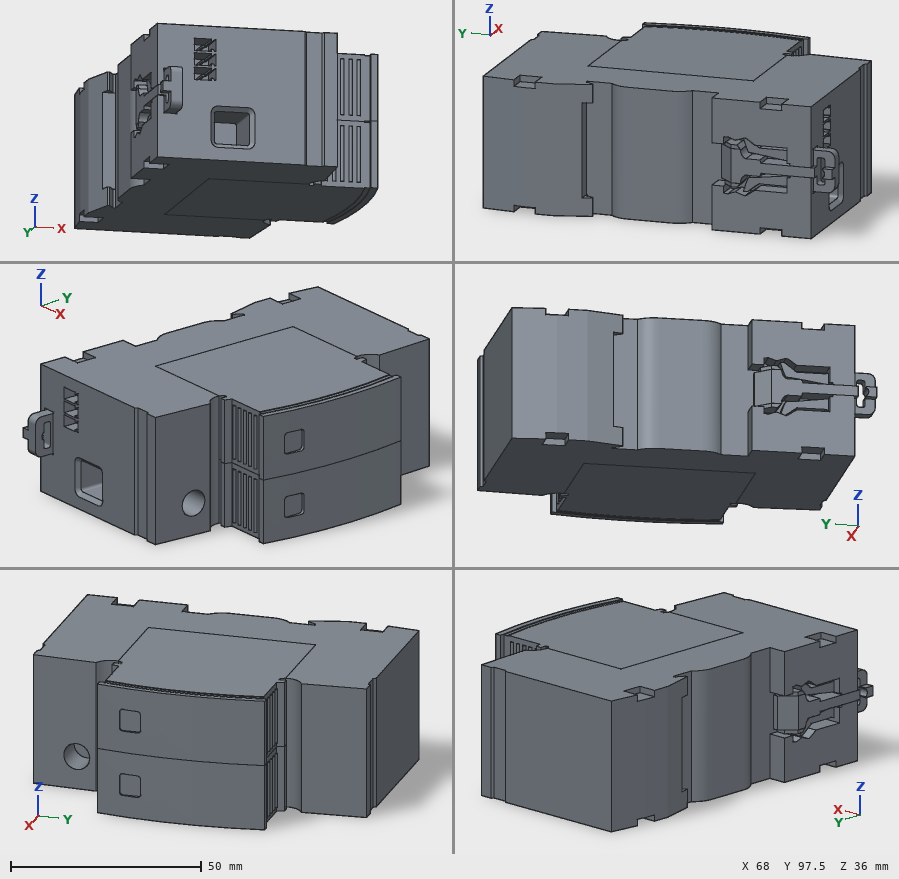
import cadquery as cq
import math


WIDTH = 36.0
HALF_WIDTH = WIDTH / 2
HALF_LENGTH = 45.8
CLIP_END_Y = -51.7
FRONT_X = 68.0

RAIL_X = 5.4
SLANT_TOP_X = 1.4
SLANT_END_Y = 33.9
HOOK_START_Y = 25.8
HOOK_TIP_Y = 15.9
HOOK_TIP_X = (2.5, 3.1)
HOOK_ROOT = (4.6, 18.2)
FOOT_Y = -18.2
PAD_X = 3.0
PAD_Y = 0.2
PAD_HALF_FLAT = 5.9
PAD_ROUND_LENGTH = 5.3
SHOULDER_X = 48.9
SHOULDER_TIP = (50.0, 28.3)
SCALLOP_END = (47.1, 24.4)
SCALLOP_RADIUS = 5.3
GRIP_X = (40.1, 40.8, 44.9, 45.4)
GRIP_DEPTH = 0.7

HOOK_GAP_HALF_WIDTH = 13.0
HOOK_GAP_Y = 18.5
EDGE_NOTCH_LENGTH = 6.0
EDGE_NOTCH_DEPTH = 1.8
EDGE_NOTCH_Y = (33.9, -34.6)
TERMINAL_Z = 9.0
WIRE_ENTRY_X = 20.6
WIRE_ENTRY_SIZE = (9.6, 8.8)
WIRE_ENTRY_FLARE = 1.2
WIRE_ENTRY_TAPER = 45
WIRE_ENTRY_CORNER = 0.8
WIRE_ENTRY_DEPTH = 14.6
SCREW_Y = -33.6
SCREW_DIAMETER = 7.2
SCREW_DEPTH = 9.75
SOCKET_PITCH = 3.9
SOCKET_X = (10.0, 14.7, 15.2, 15.6, 15.9)
SOCKET_HALF_HEIGHT = 1.7
SOCKET_NECK_HALF_HEIGHT = 1.1
SOCKET_KEY_HALF_HEIGHT = 1.6
SOCKET_DEPTH = 7.8
PIN_X = 13.0
PIN_SIZE = 0.6
PIN_LENGTH = 5.85

POCKET_DEPTH = RAIL_X
ENTRY_HALF_WIDTH = 5.8
POCKET_START_Y = -21.45
POCKET_END_Y = -39.1
FINGER_DEPTH = 2.1
STEM_HALF_WIDTH = 1.4
STEM_MOUTH_HALF_WIDTH = 1.95
POCKET_SIDE = [
    (POCKET_START_Y, 7.6),
    (-22.6, 7.8),
    (-24.8, 7.0),
    (-26.1, 7.5),
    (-27.4, 7.9),
    (-28.1, 7.6),
    (-30.1, 6.1),
    (POCKET_END_Y, 6.1),
]
STEM_MOUTH = [
    (POCKET_END_Y, STEM_MOUTH_HALF_WIDTH),
    (-39.8, STEM_MOUTH_HALF_WIDTH),
    (-40.1, STEM_HALF_WIDTH),
]
FINGER_OUTER_EDGE = [
    (POCKET_END_Y, 5.2),
    (-38.3, 4.9),
    (-30.7, 4.9),
    (-27.4, 7.3),
    (-26.2, 7.4),
]
FINGER_INNER_EDGE = [
    (-26.5, 6.4),
    (-27.1, 4.7),
    (-27.7, 3.4),
    (-29.2, 3.3),
    (POCKET_END_Y, STEM_MOUTH_HALF_WIDTH),
]
HEAD_TIP_Y = -19.6
HEAD_SHOULDER_Y = -21.0
HEAD_HALF_WIDTH = 4.7
HEAD_RAMP_LENGTH = 3.9
WING_STEP = 0.1
WING_CORNER_Y = -25.2
WAIST_ARC = ((-26.2, 4.5), (-26.9, 2.7), (-27.7, 2.2))
WAIST_END_Y = (-31.6, -31.9)
HANDLE_X = 2.1
HANDLE_HALF_WIDTH = 5.7
HANDLE_CORNER = 1.95
HANDLE_INSERT = 1.95
HANDLE_CLEARANCE = 0.4
SLOT_Y = (-46.7, -48.9)
SLOT_HALF_WIDTH = 3.7
SLOT_CORNER = 0.7
SLOT_BULGE_RADIUS = 1.3
SLOT_BULGE = 0.6

MODULE_HEIGHT = HALF_WIDTH
MODULE_BACK_X = 19.9
MODULE_HALF_LENGTH = 23.0
MODULE_NECK_HALF_LENGTH = 21.7
LUG_HALF_LENGTH = 23.7
LUG_X = (48.7, 50.3, 50.9)
NECK_START_X = 47.7
CAP_BACK_X = 64.1
CAP_EDGE_X = 65.9
GROOVE_WIDTH = 1.5
GROOVE_DEPTH = 0.2
CAP_BOW = FRONT_X - CAP_EDGE_X
WINDOW_Y = -13.65
WINDOW_SIZE = 6.0
WINDOW_CORNER = 1.0
WINDOW_FLOOR_X = 66.5
RIB_FIRST_X = 52.1
RIB_PITCH = 2.2
RIB_COUNT = 5
RIB_RADIUS = 0.5
RIB_LENGTH = 15.0


def box(x, y, z):
    """Block between two limits on each axis."""
    size = (x[1] - x[0], y[1] - y[0], z[1] - z[0])
    return cq.Workplane("XY").box(*size, centered=False).translate((x[0], y[0], z[0]))


def plate(points, x_start, x_end):
    """Outline of (Y, Z) points as a plate between two X positions."""
    return cq.Workplane("YZ", origin=(x_start, 0, 0)).polyline(points).close().extrude(x_end - x_start)


def mirrored_outline(points):
    """Closed outline from its +Z half."""
    return points + [(y, -z) for y, z in reversed(points)]



def scallop_middle(side):
    """Point halfway along the hollow beside the module, on the +Y or -Y side."""
    dx = SHOULDER_TIP[0] - SCALLOP_END[0]
    dy = SHOULDER_TIP[1] - SCALLOP_END[1]
    chord = math.hypot(dx, dy)
    sag = SCALLOP_RADIUS - math.sqrt(SCALLOP_RADIUS**2 - chord**2 / 4)
    x = (SHOULDER_TIP[0] + SCALLOP_END[0]) / 2 - sag * dy / chord
    y = (SHOULDER_TIP[1] + SCALLOP_END[1]) / 2 + sag * dx / chord
    return (x, side * y)


def pad_round_middle(side):
    """Point on the rounded shoulder of the rail pad, which is tangent to the pad face."""
    height = RAIL_X - PAD_X
    radius = (PAD_ROUND_LENGTH**2 + height**2) / (2 * height)
    angle = math.asin(PAD_ROUND_LENGTH / radius) / 2
    x = PAD_X + radius * (1 - math.cos(angle))
    return (x, PAD_Y + side * (PAD_HALF_FLAT + radius * math.sin(angle)))


def housing_block():
    grip_y = HALF_LENGTH - GRIP_DEPTH
    pad_end = PAD_HALF_FLAT + PAD_ROUND_LENGTH
    outline = (
        cq.Workplane("XY", origin=(0, 0, -HALF_WIDTH))
        .moveTo(SLANT_TOP_X, HALF_LENGTH)
        .lineTo(GRIP_X[0], HALF_LENGTH)
        .lineTo(GRIP_X[1], grip_y)
        .lineTo(GRIP_X[2], grip_y)
        .lineTo(GRIP_X[3], HALF_LENGTH)
        .lineTo(SHOULDER_X, HALF_LENGTH)
        .lineTo(*SHOULDER_TIP)
        .threePointArc(scallop_middle(1), SCALLOP_END)
        .lineTo(SCALLOP_END[0], MODULE_HALF_LENGTH)
        .lineTo(MODULE_BACK_X, MODULE_HALF_LENGTH)
        .lineTo(MODULE_BACK_X, -MODULE_HALF_LENGTH)
        .lineTo(SCALLOP_END[0], -MODULE_HALF_LENGTH)
        .lineTo(SCALLOP_END[0], -SCALLOP_END[1])
        .threePointArc(scallop_middle(-1), (SHOULDER_TIP[0], -SHOULDER_TIP[1]))
        .lineTo(SHOULDER_X, -HALF_LENGTH)
        .lineTo(GRIP_X[3], -HALF_LENGTH)
        .lineTo(GRIP_X[2], -grip_y)
        .lineTo(GRIP_X[1], -grip_y)
        .lineTo(GRIP_X[0], -HALF_LENGTH)
        .lineTo(0, -HALF_LENGTH)
        .lineTo(0, FOOT_Y)
        .lineTo(RAIL_X, FOOT_Y)
        .lineTo(RAIL_X, PAD_Y - pad_end)
        .threePointArc(pad_round_middle(-1), (PAD_X, PAD_Y - PAD_HALF_FLAT))
        .lineTo(PAD_X, PAD_Y + PAD_HALF_FLAT)
        .threePointArc(pad_round_middle(1), (RAIL_X, PAD_Y + pad_end))
        .lineTo(RAIL_X, HOOK_ROOT[1])
        .lineTo(*HOOK_ROOT)
        .lineTo(HOOK_TIP_X[1], HOOK_TIP_Y)
        .lineTo(HOOK_TIP_X[0], HOOK_TIP_Y)
        .lineTo(0, HOOK_START_Y)
        .lineTo(0, SLANT_END_Y)
        .close()
    )
    return outline.extrude(WIDTH)


def hook_gap():
    z = (-HOOK_GAP_HALF_WIDTH, HOOK_GAP_HALF_WIDTH)
    return box((0, RAIL_X), (HOOK_TIP_Y, HOOK_GAP_Y), z)


def edge_notch(middle_y, side):
    """Notch in a rear edge of the housing, on the +Z or -Z side."""
    y = (middle_y - EDGE_NOTCH_LENGTH / 2, middle_y + EDGE_NOTCH_LENGTH / 2)
    z = sorted((side * HALF_WIDTH, side * (HALF_WIDTH - EDGE_NOTCH_DEPTH)))
    return box((0, RAIL_X), y, z)


def wire_entry():
    """Rectangular hole in the -Y end with a flared mouth."""
    length, height = WIRE_ENTRY_SIZE
    mouth_corner = WIRE_ENTRY_CORNER + WIRE_ENTRY_FLARE

    def outline(extra, corner):
        return (
            cq.Workplane("XZ", origin=(WIRE_ENTRY_X, -HALF_LENGTH, -TERMINAL_Z))
            .sketch()
            .rect(length + 2 * extra, height + 2 * extra)
            .vertices()
            .fillet(corner)
            .finalize()
        )

    shaft = outline(0, WIRE_ENTRY_CORNER).extrude(-WIRE_ENTRY_DEPTH)
    mouth = outline(WIRE_ENTRY_FLARE, mouth_corner).extrude(-WIRE_ENTRY_FLARE, taper=WIRE_ENTRY_TAPER)
    return shaft.union(mouth)


def screw_hole():
    """Round hole in the sloping front shoulder, above the wire entry."""
    start_x = SHOULDER_TIP[0]
    return (
        cq.Workplane("YZ", origin=(start_x, SCREW_Y, -TERMINAL_Z))
        .circle(SCREW_DIAMETER / 2)
        .extrude(-SCREW_DEPTH)
    )


def socket(middle_z):
    """Keyed connector socket in the -Y end, with its contact pin left standing."""
    upper = [
        (SOCKET_X[0], SOCKET_HALF_HEIGHT),
        (SOCKET_X[1], SOCKET_HALF_HEIGHT),
        (SOCKET_X[1], SOCKET_NECK_HALF_HEIGHT),
        (SOCKET_X[2], SOCKET_NECK_HALF_HEIGHT),
        (SOCKET_X[3], SOCKET_KEY_HALF_HEIGHT),
        (SOCKET_X[4], SOCKET_KEY_HALF_HEIGHT),
    ]
    cavity = (
        cq.Workplane("XZ", origin=(0, -HALF_LENGTH, middle_z))
        .polyline(mirrored_outline(upper))
        .close()
        .extrude(-SOCKET_DEPTH)
    )
    pin_root_y = SOCKET_DEPTH - HALF_LENGTH
    pin = (
        cq.Workplane("XZ", origin=(PIN_X, pin_root_y, middle_z))
        .rect(PIN_SIZE, PIN_SIZE)
        .extrude(PIN_LENGTH)
    )
    return cavity.cut(pin)


def clip_pocket():
    """Pocket in the rear face for the clip, without its spring fingers."""
    half = [
        (FOOT_Y, ENTRY_HALF_WIDTH),
        (POCKET_START_Y, ENTRY_HALF_WIDTH),
        *POCKET_SIDE,
        *STEM_MOUTH,
        (-HALF_LENGTH, STEM_HALF_WIDTH),
    ]
    return plate(mirrored_outline(half), 0, POCKET_DEPTH)


def spring_finger(side):
    """Cantilever rooted at the pocket's -Y end, on the +Z or -Z side of the clip."""
    points = [(y, side * z) for y, z in FINGER_OUTER_EDGE + FINGER_INNER_EDGE]
    return plate(points, FINGER_DEPTH, POCKET_DEPTH)


def handle_recess():
    half_width = HANDLE_HALF_WIDTH + HANDLE_CLEARANCE
    y = (-HALF_LENGTH, HANDLE_INSERT - HALF_LENGTH)
    return box((HANDLE_X - HANDLE_CLEARANCE, RAIL_X), y, (-half_width, half_width))


def make_housing():
    body = housing_block().cut(hook_gap()).cut(clip_pocket()).cut(handle_recess())
    for side in (1, -1):
        body = body.union(spring_finger(side))
        for middle_y in EDGE_NOTCH_Y:
            body = body.cut(edge_notch(middle_y, side))
    for step in (-1, 0, 1):
        body = body.cut(socket(TERMINAL_Z + step * SOCKET_PITCH))
    return body.cut(wire_entry()).cut(screw_hole())



def clip_slider():
    """Latch head, waist and stem, with the head's leading edge ramped."""
    upper_half = (
        cq.Workplane("YZ")
        .moveTo(HEAD_TIP_Y, 0)
        .lineTo(HEAD_TIP_Y, HEAD_HALF_WIDTH)
        .lineTo(HEAD_SHOULDER_Y, HEAD_HALF_WIDTH)
        .lineTo(HEAD_SHOULDER_Y, ENTRY_HALF_WIDTH)
        .lineTo(WING_CORNER_Y, ENTRY_HALF_WIDTH)
        .lineTo(*WAIST_ARC[0])
        .threePointArc(*WAIST_ARC[1:])
        .lineTo(WAIST_END_Y[0], WAIST_ARC[2][1])
        .lineTo(WAIST_END_Y[1], STEM_HALF_WIDTH)
        .lineTo(-HALF_LENGTH, STEM_HALF_WIDTH)
        .lineTo(-HALF_LENGTH, 0)
        .close()
        .extrude(RAIL_X)
    )
    wing_step = box((0, WING_STEP), (WAIST_ARC[0][0], HEAD_SHOULDER_Y), (HEAD_HALF_WIDTH, ENTRY_HALF_WIDTH))
    wing_ramp = head_ramp().translate((WING_STEP, 0, HEAD_HALF_WIDTH))
    upper_half = upper_half.cut(head_ramp()).cut(wing_step).cut(wing_ramp)
    return upper_half.union(upper_half.mirror("XY"))


def head_ramp():
    """Wedge to remove ahead of the ramped face of the latch head."""
    corners = [
        (0, HEAD_TIP_Y),
        (HEAD_RAMP_LENGTH, HEAD_TIP_Y),
        (0, HEAD_TIP_Y - HEAD_RAMP_LENGTH),
    ]
    return cq.Workplane("XY").polyline(corners).close().extrude(HALF_WIDTH)


def clip_handle():
    """Rounded plate outside the housing with a raised ridge in line with the stem."""
    y = (CLIP_END_Y, HANDLE_INSERT - HALF_LENGTH)
    grip = box((HANDLE_X, RAIL_X), y, (-HANDLE_HALF_WIDTH, HANDLE_HALF_WIDTH))
    grip = grip.edges("|X and <Y").fillet(HANDLE_CORNER)
    ridge = box((0, HANDLE_X), (CLIP_END_Y, -HALF_LENGTH), (-STEM_HALF_WIDTH, STEM_HALF_WIDTH))
    return grip.union(ridge)


def handle_slot():
    slot = box((0, RAIL_X), (SLOT_Y[1], SLOT_Y[0]), (-SLOT_HALF_WIDTH, SLOT_HALF_WIDTH))
    slot = slot.edges("|X").fillet(SLOT_CORNER)
    bulge = (
        cq.Workplane("YZ")
        .center(SLOT_Y[1] - SLOT_BULGE + SLOT_BULGE_RADIUS, 0)
        .circle(SLOT_BULGE_RADIUS)
        .extrude(RAIL_X)
    )
    return slot.union(bulge)


def make_clip():
    return clip_slider().union(clip_handle()).cut(handle_slot())



def bowed_plate(back_x, front_x, half_length, thickness):
    """Plate whose front face bulges forward by the bow of the cap."""
    return (
        cq.Workplane("XY")
        .moveTo(back_x, -half_length)
        .lineTo(front_x, -half_length)
        .threePointArc((front_x + CAP_BOW, 0), (front_x, half_length))
        .lineTo(back_x, half_length)
        .close()
        .extrude(thickness)
    )


def module_base():
    """Part of the module behind the cap, with a locking lug on each side."""
    half = [
        (MODULE_BACK_X, MODULE_HALF_LENGTH),
        (SCALLOP_END[0], MODULE_HALF_LENGTH),
        (NECK_START_X, MODULE_NECK_HALF_LENGTH),
        (LUG_X[0], MODULE_NECK_HALF_LENGTH),
        (LUG_X[0], LUG_HALF_LENGTH),
        (LUG_X[1], LUG_HALF_LENGTH),
        (LUG_X[2], MODULE_NECK_HALF_LENGTH),
        (CAP_BACK_X, MODULE_NECK_HALF_LENGTH),
    ]
    return cq.Workplane("XY").polyline(mirrored_outline(half)).close().extrude(MODULE_HEIGHT)


def cap_groove():
    """Shallow bowed groove behind the cap, cut into both Z faces of the module."""
    back_x = CAP_BACK_X - GROOVE_WIDTH
    front = bowed_plate(MODULE_BACK_X, CAP_BACK_X, MODULE_NECK_HALF_LENGTH, GROOVE_DEPTH)
    back = bowed_plate(MODULE_BACK_X, back_x, MODULE_NECK_HALF_LENGTH, GROOVE_DEPTH)
    lower = front.cut(back)
    return lower.union(lower.translate((0, 0, MODULE_HEIGHT - GROOVE_DEPTH)))


def grip_rib(x, side):
    """Half-round rib on the +Y or -Y side of the module."""
    start = (x, side * MODULE_NECK_HALF_LENGTH, (MODULE_HEIGHT - RIB_LENGTH) / 2)
    return cq.Workplane("XY", origin=start).circle(RIB_RADIUS).extrude(RIB_LENGTH)


def cap_window():
    """Rounded square recess in the bowed front of the cap."""
    return (
        cq.Workplane("YZ", origin=(WINDOW_FLOOR_X, WINDOW_Y, MODULE_HEIGHT / 2))
        .rect(WINDOW_SIZE, WINDOW_SIZE)
        .extrude(FRONT_X - WINDOW_FLOOR_X)
        .edges("|X")
        .fillet(WINDOW_CORNER)
    )


def make_module(bottom_z):
    body = module_base().union(
        bowed_plate(CAP_BACK_X, CAP_EDGE_X, MODULE_HALF_LENGTH, MODULE_HEIGHT)
    )
    body = body.cut(cap_groove()).cut(cap_window())
    for index in range(RIB_COUNT):
        for side in (1, -1):
            body = body.union(grip_rib(RIB_FIRST_X + index * RIB_PITCH, side))
    return body.translate((0, 0, bottom_z))


housing = make_housing()
clip = make_clip()
modules = []
for bottom_z in (-MODULE_HEIGHT, 0):
    modules += make_module(bottom_z).solids().vals()

result = cq.Compound.makeCompound([*housing.solids().vals(), *clip.solids().vals(), *modules])